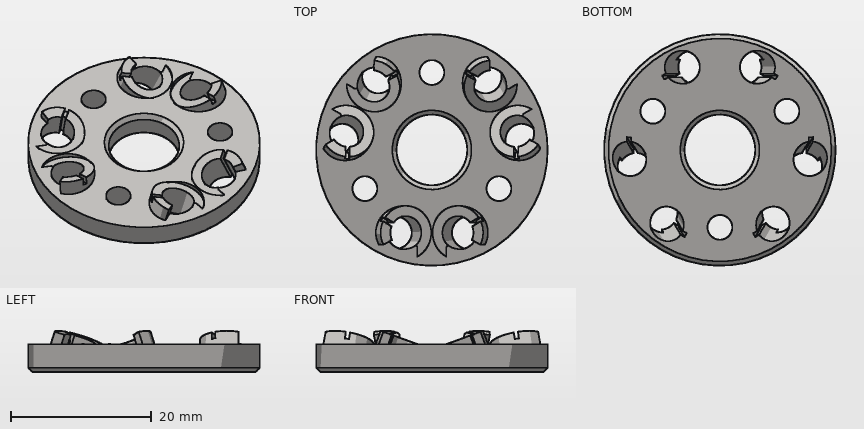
import cadquery as cq
import math

disc_diameter = 32.93
disc_thickness = 4.0
edge_chamfer = 0.63
center_bore_diameter = 10.0

plain_hole_diameter = 3.5
plain_hole_radius = 11.0
first_hole_angle = 90.0
sector_count = 3

tilt = 20.0
seat_x = -3.7
seat_y = -11.75
seat_z = 4.58
ring_radius = 3.82
ring_depth = 2.65
seat_bore_radius = 2.35
drill_length = 2 * disc_thickness

gap_start_angle = 26.5
gap_end_angle = 130.0

slot_angle = -30.0
slot_width = 0.6
slot_depth = 1.0
keyway_radius = 2.93

tilt_sin = math.sin(math.radians(tilt))
tilt_cos = math.cos(math.radians(tilt))

seat_plane = cq.Plane(
    origin=(seat_x, seat_y, seat_z),
    xDir=(-tilt_cos, 0, tilt_sin),
    normal=(tilt_sin, 0, tilt_cos),
)


def around_disc(body):
    """Copies of one seat body: a mirrored pair in every third of the disc."""
    pair = [body, body.mirror("YZ")]
    return [
        member.rotate((0, 0, 0), (0, 0, 1), index * 360 / sector_count)
        for index in range(sector_count)
        for member in pair
    ]


def make_disc():
    disc = cq.Workplane("XY").circle(disc_diameter / 2).extrude(disc_thickness)
    disc = disc.faces("<Z").edges().chamfer(edge_chamfer)
    disc = disc.faces(">Z").workplane().hole(center_bore_diameter)
    bore_edges = cq.selectors.RadiusNthSelector(0)
    disc = disc.edges("%CIRCLE").edges(bore_edges).chamfer(edge_chamfer)
    return (
        disc.faces(">Z").workplane(origin=(0, 0, disc_thickness))
        .polarArray(plain_hole_radius, first_hole_angle, 360, sector_count)
        .hole(plain_hole_diameter)
    )


def make_pocket():
    """Upright recess above the low side of the ring face."""
    rim = cq.Workplane(seat_plane).circle(ring_radius).wires().val()
    return cq.Workplane(
        cq.Solid.extrudeLinear(rim, [], cq.Vector(0, 0, disc_thickness))
    )


def make_gap():
    """Wedge that opens the outboard side of the ring."""
    reach = 3 * ring_radius
    start = math.radians(gap_start_angle)
    end = math.radians(gap_end_angle)
    return (
        cq.Workplane(seat_plane)
        .lineTo(reach * math.cos(start), reach * math.sin(start))
        .lineTo(reach * math.cos(end), reach * math.sin(end))
        .close()
        .extrude(-ring_depth)
    )


def make_radial_cutter(length, depth):
    """Slot-wide bar from the ring axis outward, sunk below the ring face."""
    return (
        cq.Workplane(seat_plane)
        .transformed(rotate=(0, 0, slot_angle))
        .center(length / 2, 0)
        .rect(length, slot_width)
        .extrude(-depth)
    )


def make_ring():
    ring = cq.Workplane(seat_plane).circle(ring_radius).extrude(-ring_depth)
    ring = ring.cut(make_gap())
    return ring.cut(make_radial_cutter(2 * ring_radius, slot_depth))


def make_drill():
    """Tilted through bore with its keyway."""
    bore = cq.Workplane(seat_plane).circle(seat_bore_radius).extrude(-drill_length)
    return bore.union(make_radial_cutter(keyway_radius, drill_length))


result = make_disc()
for pocket in around_disc(make_pocket()):
    result = result.cut(pocket)
for ring in around_disc(make_ring()):
    result = result.union(ring)
for drill in around_disc(make_drill()):
    result = result.cut(drill)